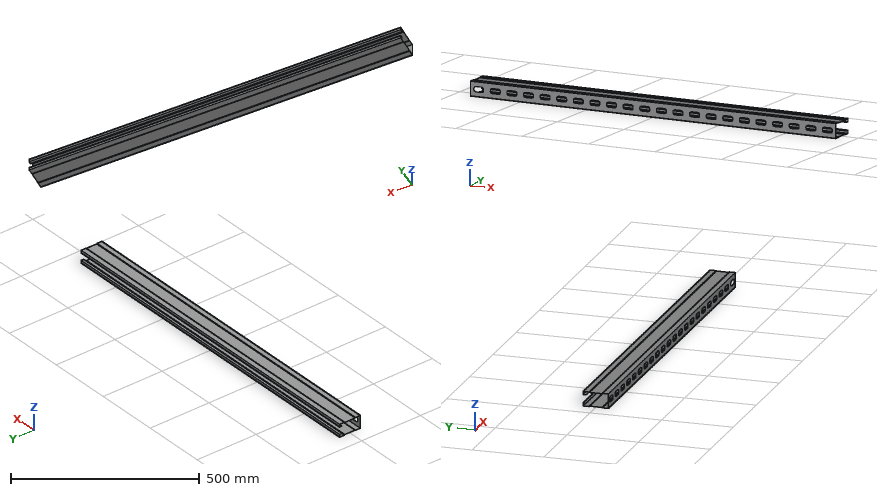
import cadquery as cq
import math

length = 1100.0
depth = 72.0
height = 42.0
sheet = 1.3

recess_width = 37.0
recess_depth = 1.0
slope_run = 1.5

lip_height = 10.0
lip_return = 9.0

slot_count = 22
slot_length = 30.0
slot_width = 14.0
slot_pitch = length / slot_count


def upper_half_section():
    """Upper half of the section: web at -Y, recessed flange, hooked lip at +Y."""
    back = -depth / 2
    front = depth / 2
    top = height / 2
    lip_bottom = top - lip_height
    lip_end = front - lip_return

    shoulder_y = recess_width / 2
    foot_y = shoulder_y - slope_run
    recess_top = top - recess_depth

    bend_shift = sheet * math.tan(math.atan2(recess_depth, slope_run) / 2)
    inner_shoulder_y = shoulder_y + bend_shift
    inner_foot_y = foot_y + bend_shift

    outer_path = [
        (back, 0),
        (back, top),
        (-shoulder_y, top),
        (-foot_y, recess_top),
        (foot_y, recess_top),
        (shoulder_y, top),
        (front, top),
        (front, lip_bottom),
        (lip_end, lip_bottom),
    ]
    inner_path = [
        (lip_end, lip_bottom + sheet),
        (front - sheet, lip_bottom + sheet),
        (front - sheet, top - sheet),
        (inner_shoulder_y, top - sheet),
        (inner_foot_y, recess_top - sheet),
        (-inner_foot_y, recess_top - sheet),
        (-inner_shoulder_y, top - sheet),
        (back + sheet, top - sheet),
        (back + sheet, 0),
    ]
    return cq.Workplane("YZ").polyline(outer_path + inner_path).close()


def rail():
    """Full channel, centred on the origin and running along X."""
    upper = upper_half_section().extrude(length / 2, both=True)
    return upper.union(upper.mirror("XY"), clean=True)


def web_slots():
    """Row of round-ended cutters that pass through the web only."""
    cutter_depth = 2 * sheet
    return (
        cq.Workplane("XZ", origin=(0, -depth / 2 + sheet, 0))
        .rarray(slot_pitch, 11, slot_count, 1)
        .slot2D(slot_length, slot_width)
        .extrude(cutter_depth)
    )


result = rail().cut(web_slots())